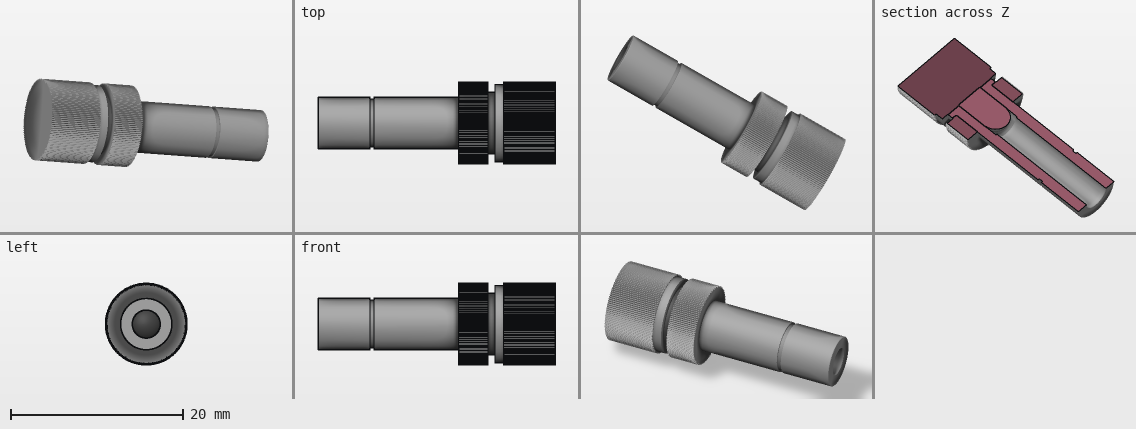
import cadquery as cq
import math

barrel_groove_start = 6.0
barrel_groove_end = 6.5
socket_start = 14.5
collar_start = 16.3
collar_end = 19.7
cap_start = 20.5
cap_knurl_start = 21.5
overall_length = 27.5

barrel_diameter = 6.0
barrel_groove_diameter = 5.6
bore_diameter = 3.2
neck_diameter = 7.2
cap_ring_diameter = 9.0
plunger_diameter = 3.5

tip_chamfer = 0.05

knurl_tip_diameter = 9.5
knurl_root_diameter = 9.1
knurl_land_width = 0.03
knurl_teeth = 130
tooth_half_pitch = math.pi / knurl_teeth
cap_knurl_turn = 0.0
collar_knurl_turn = tooth_half_pitch


def cylinder(diameter, start, end):
    """Solid round bar along X between two stations."""
    return cq.Workplane("YZ", origin=(start, 0, 0)).circle(diameter / 2).extrude(end - start)


def ring_point(diameter, angle):
    """Point of the YZ section at an angle measured from +Y."""
    return (diameter / 2 * math.cos(angle), diameter / 2 * math.sin(angle))


def knurled_cylinder(start, end, turn):
    """Bar along X with V grooves all round, the first tooth centred `turn` radians from +Y."""
    half_land = knurl_land_width / knurl_tip_diameter
    section = cq.Workplane("YZ", origin=(start, 0, 0))
    section = section.moveTo(*ring_point(knurl_tip_diameter, turn - half_land))
    for tooth in range(knurl_teeth):
        middle = turn + 2 * tooth * tooth_half_pitch
        section = section.lineTo(*ring_point(knurl_tip_diameter, middle + half_land))
        section = section.lineTo(*ring_point(knurl_root_diameter, middle + tooth_half_pitch))
        if tooth < knurl_teeth - 1:
            section = section.lineTo(
                *ring_point(knurl_tip_diameter, middle + 2 * tooth_half_pitch - half_land)
            )
    return section.close().extrude(end - start)


def make_barrel():
    """Bored tube with a shallow groove and a socket for the plunger, ending in a neck against the cap."""
    tube = cylinder(barrel_diameter, 0, collar_end)
    neck = cylinder(neck_diameter, collar_end, cap_start)
    groove = cylinder(barrel_diameter, barrel_groove_start, barrel_groove_end).cut(
        cylinder(barrel_groove_diameter, barrel_groove_start, barrel_groove_end)
    )
    bore = cylinder(bore_diameter, 0, socket_start)
    socket = cylinder(plunger_diameter, socket_start, cap_start)
    body = tube.union(neck).cut(groove).cut(bore).cut(socket)
    return body.faces("<X").chamfer(tip_chamfer)


def make_collar():
    """Knurled ring that fits around the barrel."""
    return knurled_cylinder(collar_start, collar_end, collar_knurl_turn).cut(
        cylinder(barrel_diameter, collar_start, collar_end)
    )


def make_cap():
    """Knurled end cap with a plain ring on its inner side."""
    ring = cylinder(cap_ring_diameter, cap_start, cap_knurl_start)
    return ring.union(knurled_cylinder(cap_knurl_start, overall_length, cap_knurl_turn))


def make_plunger():
    """Round pin with a hemispherical nose, filling the barrel's socket and ending at the cap."""
    radius = plunger_diameter / 2
    nose_end = socket_start + radius
    shaft = cylinder(plunger_diameter, nose_end, cap_start)
    ball = cq.Workplane("YZ", origin=(nose_end, 0, 0)).sphere(radius)
    return shaft.union(ball.intersect(cylinder(plunger_diameter, socket_start, nose_end)))


barrel = make_barrel()
collar = make_collar()
cap = make_cap()
plunger = make_plunger()

result = cq.Compound.makeCompound([barrel.val(), collar.val(), cap.val(), plunger.val()])